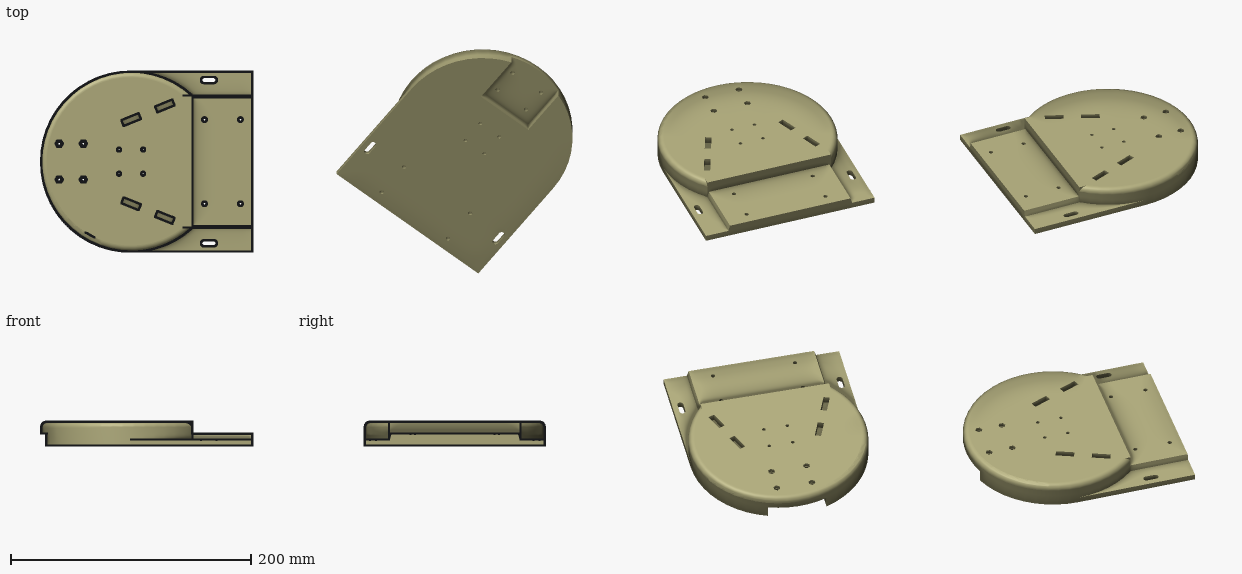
import cadquery as cq
import math

OVERALL_LENGTH = 176

DISC_RADIUS = 75.0
DISC_HEIGHT = 20.0
EDGE_RADIUS = 5.0
FLAT_X = 51.0
FLAT_HALF_WIDTH = math.sqrt(DISC_RADIUS**2 - FLAT_X**2)

PLATE_END_X = OVERALL_LENGTH - DISC_RADIUS
PLATE_WIDTH = 2 * DISC_RADIUS
PLATE_THICKNESS = DISC_HEIGHT / 4
PAD_TOP = 2 * PLATE_THICKNESS
PAD_BASE_HALF_WIDTH = 55.0
PAD_SIDE_SLOPE = 17

PLATE_SLOT_WIDTH = 5.0
PLATE_SLOT_LENGTH = 13.0
PLATE_SLOT_X = 64.8
PLATE_SLOT_Y = 68.0

PAD_HOLE_DIAMETER = 3.5
PAD_HOLE_X = (61.0, 91.0)
PAD_HOLE_Y = 35.0

CENTRE_HOLE_DIAMETER = 3.0
CENTRE_HOLE_SPACING = 20.0

NUT_HOLE_DIAMETER = 3.5
NUT_DIAMETER = 6.0
NUT_DEPTH = 3.0
NUT_HOLE_X = (-59.8, -39.8)
NUT_HOLE_Y = 15.0

POCKET_LENGTH = 15.5
POCKET_WIDTH = 5.3
POCKET_DEPTH = 6.0
POCKET_ANGLE = 22
POCKET_Y = 35.0
POCKET_SPACING = 30.3

RECESS_WIDTH = 50.0
RECESS_HEIGHT = DISC_HEIGHT / 2
RECESS_END_X = -30.0


def box(x_start, x_end, width, z_start, z_end):
    """Block centred on Y = 0."""
    return (
        cq.Workplane("XY", origin=(0, 0, z_start))
        .center((x_start + x_end) / 2, 0)
        .rect(x_end - x_start, width)
        .extrude(z_end - z_start)
    )


def mirrored_pairs(x_values, y):
    """Points at each X, on both sides of the X axis."""
    return [(x, side * y) for x in x_values for side in (-1, 1)]


def through_holes(points, diameter):
    """Round cutters as tall as the whole part."""
    return cq.Workplane("XY").pushPoints(points).circle(diameter / 2).extrude(DISC_HEIGHT)


def housing():
    """Disc with a rounded top edge, cut flat at +X with square top corners."""
    disc = cq.Workplane("XY").circle(DISC_RADIUS).extrude(DISC_HEIGHT)
    disc = disc.faces(">Z").edges().fillet(EDGE_RADIUS)
    disc = disc.intersect(box(-DISC_RADIUS, FLAT_X, 2 * DISC_RADIUS, 0, DISC_HEIGHT))
    square_end = box(0, FLAT_X, 2 * FLAT_HALF_WIDTH, 0, DISC_HEIGHT)
    return disc.union(square_end)


def pad():
    """Raised pad whose long sides lean inward."""
    inset = (PAD_TOP - PLATE_THICKNESS) * math.tan(math.radians(PAD_SIDE_SLOPE))
    top_half_width = PAD_BASE_HALF_WIDTH - inset
    return (
        cq.Workplane("YZ", origin=(FLAT_X, 0, 0))
        .moveTo(-PAD_BASE_HALF_WIDTH, PLATE_THICKNESS)
        .lineTo(PAD_BASE_HALF_WIDTH, PLATE_THICKNESS)
        .lineTo(top_half_width, PAD_TOP)
        .lineTo(-top_half_width, PAD_TOP)
        .close()
        .extrude(PLATE_END_X - FLAT_X)
    )


def plate_slots():
    return (
        cq.Workplane("XY")
        .pushPoints(mirrored_pairs([PLATE_SLOT_X], PLATE_SLOT_Y))
        .slot2D(PLATE_SLOT_LENGTH, PLATE_SLOT_WIDTH)
        .extrude(PLATE_THICKNESS)
    )


def nut_recesses(points):
    return (
        cq.Workplane("XY", origin=(0, 0, DISC_HEIGHT))
        .pushPoints(points)
        .polygon(6, NUT_DIAMETER)
        .extrude(-NUT_DEPTH)
    )


def slanted_pockets(side):
    """Two pockets in line on one side of the X axis (side is 1 or -1)."""
    return (
        cq.Workplane("XY", origin=(0, side * POCKET_Y, DISC_HEIGHT))
        .transformed(rotate=(0, 0, side * POCKET_ANGLE))
        .pushPoints([(0, 0), (POCKET_SPACING, 0)])
        .rect(POCKET_LENGTH, POCKET_WIDTH)
        .extrude(-POCKET_DEPTH)
    )


plate = box(0, PLATE_END_X, PLATE_WIDTH, 0, PLATE_THICKNESS)
result = housing().union(plate).union(pad())

result = result.cut(box(-DISC_RADIUS, RECESS_END_X, RECESS_WIDTH, 0, RECESS_HEIGHT))
result = result.cut(plate_slots())
result = result.cut(through_holes(mirrored_pairs(PAD_HOLE_X, PAD_HOLE_Y), PAD_HOLE_DIAMETER))

centre_offset = CENTRE_HOLE_SPACING / 2
centre_points = mirrored_pairs((-centre_offset, centre_offset), centre_offset)
result = result.cut(through_holes(centre_points, CENTRE_HOLE_DIAMETER))

nut_points = mirrored_pairs(NUT_HOLE_X, NUT_HOLE_Y)
result = result.cut(through_holes(nut_points, NUT_HOLE_DIAMETER))
result = result.cut(nut_recesses(nut_points))

for side in (-1, 1):
    result = result.cut(slanted_pockets(side))